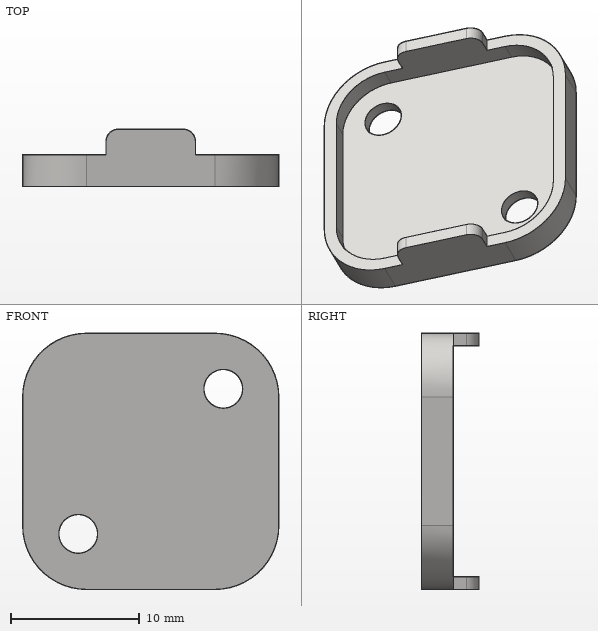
import cadquery as cq
import math

plate_side = 20.0
plate_thickness = 2.5
plate_corner_radius = 5.0

skin_thickness = 1.0
rim_width = 1.0

hole_diameter = 3.0
bolt_circle_radius = 8.0
hole_offset = bolt_circle_radius / math.sqrt(2)

tab_width = 7.0
tab_length = 2.0
tab_thickness = 1.0
tab_corner_radius = 1.0


def rounded_block(side, depth, corner_radius, front_y):
    """Square block with rounded corners, from front_y toward +Y."""
    return (
        cq.Workplane("XY")
        .box(side, depth, side, centered=(True, False, True))
        .edges("|Y")
        .fillet(corner_radius)
        .translate((0, front_y, 0))
    )


def make_plate():
    plate = rounded_block(plate_side, plate_thickness, plate_corner_radius, 0)
    pocket = rounded_block(
        plate_side - 2 * rim_width,
        plate_thickness - skin_thickness,
        plate_corner_radius - rim_width,
        skin_thickness,
    )
    holes = (
        cq.Workplane("XZ")
        .pushPoints([(hole_offset, hole_offset), (-hole_offset, -hole_offset)])
        .circle(hole_diameter / 2)
        .extrude(-skin_thickness)
    )
    return plate.cut(pocket).cut(holes)


def make_tab(bottom_z):
    """Tab with rounded free corners, its underside at height bottom_z."""
    return (
        cq.Workplane("XY")
        .box(tab_width, tab_length, tab_thickness, centered=(True, False, False))
        .edges("|Z and >Y")
        .fillet(tab_corner_radius)
        .translate((0, plate_thickness, bottom_z))
    )


result = make_plate()
for tab_bottom in (-plate_side / 2, plate_side / 2 - tab_thickness):
    result = result.union(make_tab(tab_bottom))